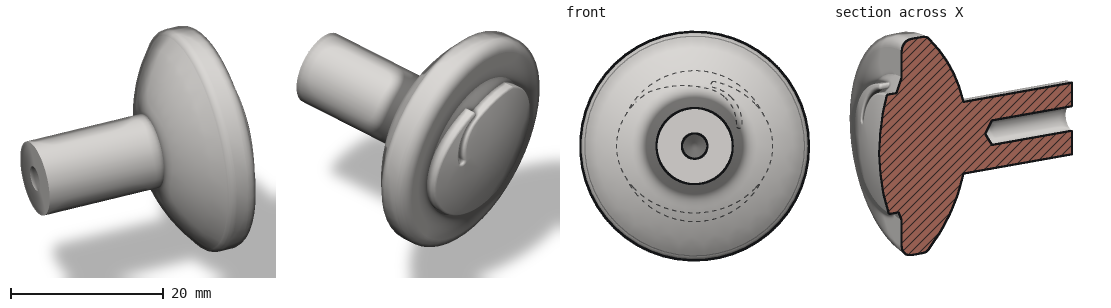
import cadquery as cq
import math

knob_radius = 15.0
rim_fillet = 1.5
rim_end = -3.2
back_start = -4.25
back_start_radius = 14.4
back_bulge = 21.0
shaft_radius = 10.0 / 2
shaft_shoulder = -9.33
shaft_end = -25.6

hole_radius = 3.33 / 2
hole_depth = 12.0
drill_point_angle = 118.0

dome_edge_radius = 9.9
dome_sphere_radius = 24.93
pad_thickness = 1.35
pad_half_width = 10.23
pad_half_height = 8.75
pad_edge_fillet = 0.33
groove_corner_fillet = 0.35

groove_left_mouth = (-6.6, 6.85)
groove_inner_crest = (-2.1, 7.92)
groove_inner_bend = (2.1, 7.45)
groove_inner_tip = (5.45, 2.7)
groove_tip = (5.73, 2.35)
groove_outer_tip = (6.18, 2.52)
groove_outer_side = (5.25, 5.88)
groove_outer_bend = (2.15, 7.75)
groove_right_mouth = (2.15, 9.6)
groove_mouth_clear = (-6.6, 9.6)

dome_center = -math.sqrt(dome_sphere_radius**2 - dome_edge_radius**2)
dome_apex = dome_center + dome_sphere_radius
pad_blank_depth = 2 * (dome_apex + pad_thickness)


def arc_midpoint(start, end, radius):
    """Middle of the minor arc from start to end that bulges to the left of travel."""
    dx = end[0] - start[0]
    dy = end[1] - start[1]
    chord = math.hypot(dx, dy)
    sagitta = radius - math.sqrt(radius**2 - (chord / 2) ** 2)
    mid_x = (start[0] + end[0]) / 2 - sagitta * dy / chord
    mid_y = (start[1] + end[1]) / 2 + sagitta * dx / chord
    return (mid_x, mid_y)


def sphere_about_dome_center(radius):
    return cq.Workplane("XY").sphere(radius).translate((0, dome_center, 0))


def make_body():
    """Revolved profile of dome, rim, curved back and shaft."""
    face_edge = (knob_radius - rim_fillet, 0)
    rim_front = (knob_radius, -rim_fillet)
    back_outer = (back_start_radius, back_start)
    back_inner = (shaft_radius, shaft_shoulder)
    dome_top = (0, dome_apex)
    dome_edge = (dome_edge_radius, 0)
    profile = (
        cq.Workplane("XY")
        .moveTo(*dome_top)
        .threePointArc(arc_midpoint(dome_top, dome_edge, dome_sphere_radius), dome_edge)
        .lineTo(*face_edge)
        .threePointArc(arc_midpoint(face_edge, rim_front, rim_fillet), rim_front)
        .lineTo(knob_radius, rim_end)
        .tangentArcPoint(back_outer, relative=False)
        .threePointArc(arc_midpoint(back_outer, back_inner, back_bulge), back_inner)
        .lineTo(shaft_radius, shaft_end)
        .lineTo(0, shaft_end)
        .close()
    )
    return profile.revolve(360, (0, 0, 0), (0, 1, 0))


def make_hole():
    """Drilled hole on the axis, opening at the shaft end."""
    shoulder = shaft_end + hole_depth
    point = shoulder + hole_radius / math.tan(math.radians(drill_point_angle / 2))
    profile = (
        cq.Workplane("XY")
        .moveTo(0, shaft_end)
        .lineTo(hole_radius, shaft_end)
        .lineTo(hole_radius, shoulder)
        .lineTo(0, point)
        .close()
    )
    return profile.revolve(360, (0, 0, 0), (0, 1, 0))


def extrude_forward(sketch):
    """Extrude an XZ outline from Y = 0 (plane normal is -Y) past the front of the pad."""
    return sketch.extrude(-pad_blank_depth)


def make_groove():
    """Cutter for the curved groove, open at the upper edge of the pad."""
    outline = (
        cq.Workplane("XZ")
        .moveTo(*groove_mouth_clear)
        .lineTo(*groove_left_mouth)
        .threePointArc(groove_inner_crest, groove_inner_bend)
        .tangentArcPoint(groove_inner_tip, relative=False)
        .threePointArc(groove_tip, groove_outer_tip)
        .threePointArc(groove_outer_side, groove_outer_bend)
        .lineTo(*groove_right_mouth)
        .close()
    )
    return extrude_forward(outline)


def round_upright_edge(pad, place, radius):
    """Fillet the pad edge parallel to Y that lies nearest the XZ point."""
    middle = (place[0], pad_blank_depth / 2, place[1])
    return pad.edges(cq.selectors.NearestToPointSelector(middle)).fillet(radius)


def make_pad():
    """Oval pad with a domed face, cut by the groove; it starts at Y = 0, inside the dome."""
    oval = extrude_forward(cq.Workplane("XZ").ellipse(pad_half_width, pad_half_height))
    pad = oval.cut(make_groove())
    pad = round_upright_edge(pad, groove_outer_bend, groove_corner_fillet)
    pad = round_upright_edge(pad, (groove_right_mouth[0], pad_half_height), groove_corner_fillet)
    pad = pad.intersect(sphere_about_dome_center(dome_sphere_radius + pad_thickness))
    return pad.faces("%SPHERE").edges().fillet(pad_edge_fillet)


result = make_body().union(make_pad()).cut(make_hole())